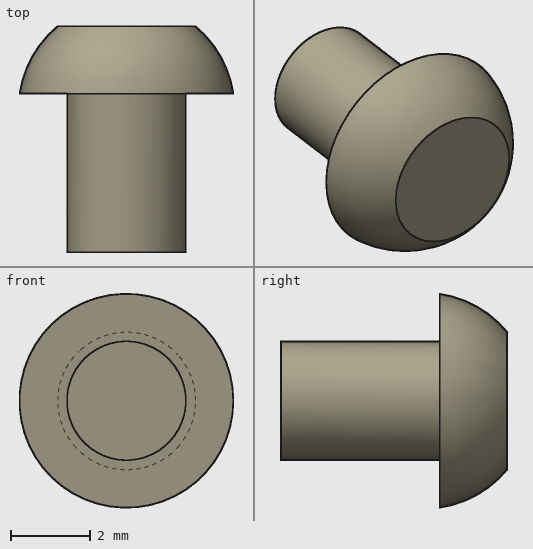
import cadquery as cq

total_length = 5.7
shank_length = 4.0
shank_diameter = 3.0
head_diameter = 5.4
head_flat_diameter = 3.475
dome_radius = 2.73

head_height = total_length - shank_length
shank_radius = shank_diameter / 2
head_radius = head_diameter / 2
head_flat_radius = head_flat_diameter / 2
half_section = (
    cq.Workplane("XY")
    .moveTo(0, -shank_length)
    .lineTo(shank_radius, -shank_length)
    .lineTo(shank_radius, 0)
    .lineTo(head_radius, 0)
    .radiusArc((head_flat_radius, head_height), -dome_radius)
    .lineTo(0, head_height)
    .close()
)

result = half_section.revolve(360, (0, 0, 0), (0, 1, 0))